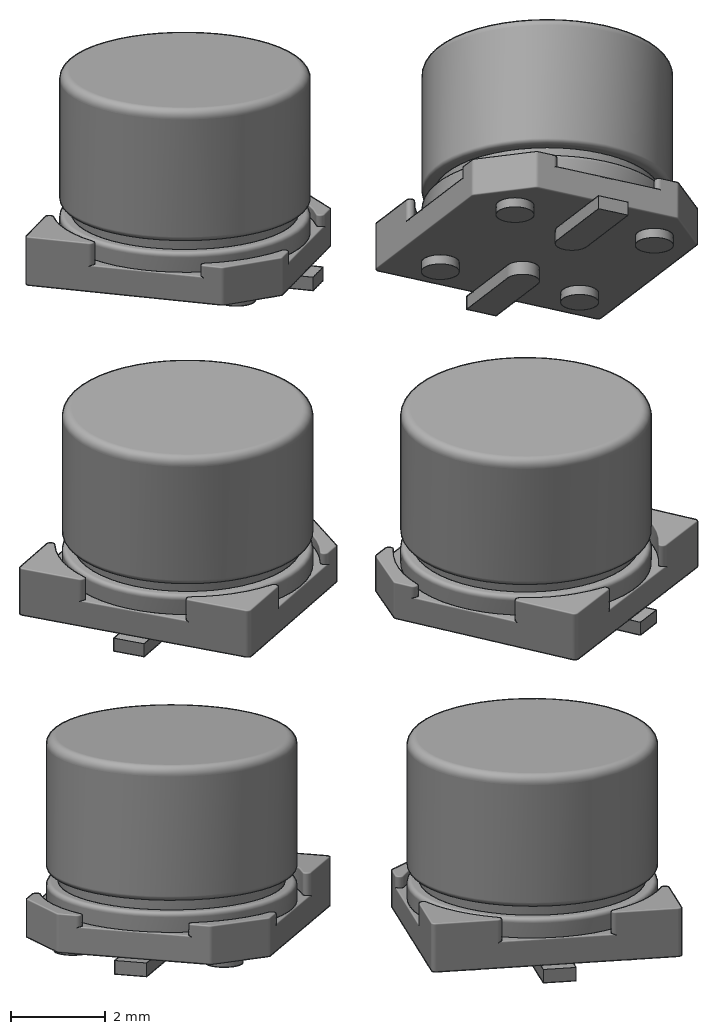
import cadquery as cq
import math

total_height = 4.5
lead_thickness = 0.3
plate_top = 0.895
tall_post_top = 1.385
short_post_top = 1.15
bead_top = 1.32
can_bottom = 1.575
pin_bottom = 0.09
embed_height = (lead_thickness + plate_top) / 2

can_radius = 5.3 / 2
neck_radius = 4.8 / 2
can_top_fillet = 0.2
crimp_fillet = 0.1

base_size = 5.4
base_half = base_size / 2
corner_chamfer = 1.005
pocket_radius = 2.8
notch_half_width = 1.18
corner_fillet = 0.1
post_tip_fillet = 0.08
rim_fillet = 0.03

lead_span = 5.9
lead_width = 0.71
lead_inner_tip = 0.75
pin_diameter = 0.8
pin_offset = 1.67


def base_block(bottom, top):
    """Square block with its two +X corners cut off, all edges sharp."""
    return (
        cq.Workplane("XY")
        .workplane(offset=bottom)
        .rect(base_size, base_size)
        .extrude(top - bottom)
        .edges("|Z and >X")
        .chamfer(corner_chamfer)
    )


def make_plate():
    """Base plate below the notches, with eased rims."""
    plate = base_block(lead_thickness, plate_top).edges("|Z").fillet(corner_fillet)
    return plate.faces("<Z or >Z").edges().fillet(rim_fillet)


def touches_pocket(edge):
    """True for a vertical edge on the round inner wall of a post."""
    centre = edge.Center()
    return math.hypot(centre.x, centre.y) < pocket_radius + rim_fillet


def is_outer_corner(edge):
    """True for a vertical edge on the outer square of the base, clear of the pocket."""
    centre = edge.Center()
    reach = max(abs(centre.x), abs(centre.y))
    return reach > base_half - rim_fillet


def make_post(side_x, side_y):
    """Corner post around the can; the posts on the +X side are shorter."""
    bottom = embed_height
    top = short_post_top if side_x > 0 else tall_post_top
    corner_centre = notch_half_width + base_half / 2
    corner_region = (
        cq.Workplane("XY")
        .center(side_x * corner_centre, side_y * corner_centre)
        .rect(base_half, base_half)
        .extrude(total_height)
    )
    pocket = cq.Workplane("XY").circle(pocket_radius).extrude(total_height)
    post = base_block(bottom, top).intersect(corner_region).cut(pocket)

    post = post.edges("|Z").filter(touches_pocket).fillet(post_tip_fillet)
    post = post.edges("|Z").filter(is_outer_corner).fillet(corner_fillet)
    return post.faces(">Z").edges().fillet(rim_fillet)


def cylinder(radius, bottom, top):
    return cq.Workplane("XY").workplane(offset=bottom).circle(radius).extrude(top - bottom)


def make_can():
    """Can with a crimp groove between its body and the bead rooted in the plate."""
    body = cylinder(can_radius, can_bottom, total_height)
    body = body.faces(">Z").edges().fillet(can_top_fillet)
    body = body.faces("<Z").edges().fillet(crimp_fillet)
    bead = cylinder(can_radius, embed_height, bead_top)
    bead = bead.faces(">Z").edges().fillet(crimp_fillet)
    neck = cylinder(neck_radius, embed_height, total_height - can_top_fillet)
    return body.union(neck).union(bead)


def make_lead(side_x):
    """Flat lead with a full-round inner end."""
    outer_x = side_x * lead_span / 2
    tip_x = side_x * lead_inner_tip
    round_start_x = tip_x + side_x * lead_width / 2
    return (
        cq.Workplane("XY")
        .moveTo(outer_x, -lead_width / 2)
        .lineTo(round_start_x, -lead_width / 2)
        .threePointArc((tip_x, 0), (round_start_x, lead_width / 2))
        .lineTo(outer_x, lead_width / 2)
        .close()
        .extrude(lead_thickness)
    )


result = make_plate()
for side_x in (-1, 1):
    for side_y in (-1, 1):
        result = result.union(make_post(side_x, side_y))
        pin = cylinder(pin_diameter / 2, pin_bottom, embed_height)
        result = result.union(pin.translate((side_x * pin_offset, side_y * pin_offset, 0)))
    result = result.union(make_lead(side_x))
result = result.union(make_can())